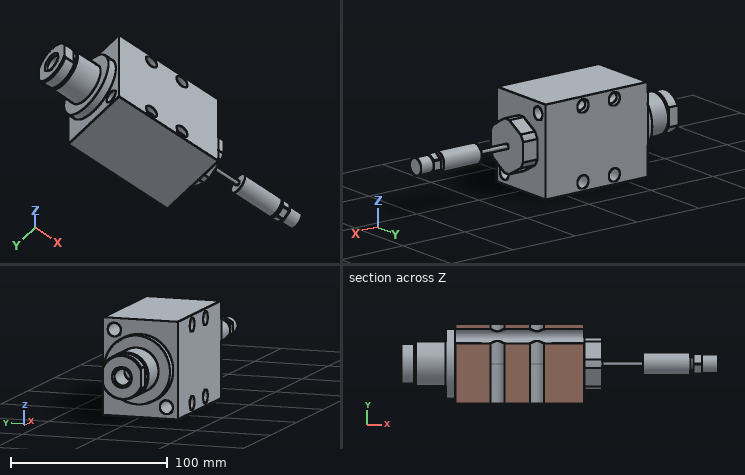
import cadquery as cq
import math

LENGTH = 202.5
HEAD_END = 8.7
SHANK_START = 10.0
COLLAR_START = 28.8
BLOCK_START = 34.8
BLOCK_END = 117.3
HEX_CAP_END = 128.8
SENSOR_START = 154.5
SENSOR_END = 185.0
NUT_START = 186.8
NUT_END = 192.5

BLOCK_WIDTH = 50.8
BLOCK_HEIGHT = 63.5
HOLE_DIAMETER = 9.0
CROSS_HOLE_X = (61.8, 87.0)
CROSS_HOLE_Z = 25.3
LONG_HOLE_Y = 17.6
LONG_HOLE_Z = 24.1

HEAD_DIAMETER = 28.8
HEAD_CHAMFER_LENGTH = 0.8
HEAD_CHAMFER_DEPTH = 0.5
NOTCH_DEPTH = 0.5
SHANK_DIAMETER = 29.0
COLLAR_DIAMETER = 44.5
FLAT_WIDTH = 25.5
FLAT_END = 7.7
PORT_DIAMETER = 11.0
PORT_CHAMFER = 1.2
PORT_DEPTH = 20.3

CAP_ACROSS_FLATS = 33.8
CAP_CORNER_DIAMETER = 36.5

CABLE_DIAMETER = 3.5
SENSOR_DIAMETER = 14.4
NECK_DIAMETER = 8.5
NUT_ACROSS_FLATS = 12.8
NUT_CORNER_DIAMETER = 14.4
PLUG_DIAMETER = 12.0


def rod(start, end, diameter):
    """Round bar on the X axis between two stations."""
    return cq.Workplane("YZ", origin=(start, 0, 0)).circle(diameter / 2).extrude(end - start)


def revolve_about_x(profile):
    """Turned shape from (station, radius) points that start and end on the X axis."""
    return cq.Workplane("XY").polyline(profile).close().revolve(360, (0, 0, 0), (1, 0, 0))


def turned_hexagon(start, end, across_flats, corner_diameter):
    """Hexagonal bar on the X axis with flats at +Y and -Y and its corners turned round."""
    across_corners = across_flats / math.cos(math.pi / 6)
    bar = cq.Workplane("YZ", origin=(start, 0, 0)).polygon(6, across_corners).extrude(end - start)
    bar = bar.rotate((0, 0, 0), (1, 0, 0), 90)
    return bar.intersect(rod(start, end, corner_diameter))


def make_nose():
    head_radius = HEAD_DIAMETER / 2
    shank_radius = SHANK_DIAMETER / 2
    nose_profile = [
        (0, 0),
        (0, head_radius - HEAD_CHAMFER_DEPTH),
        (HEAD_CHAMFER_LENGTH, head_radius),
        (HEAD_END, head_radius),
        (HEAD_END, head_radius - NOTCH_DEPTH),
        (SHANK_START, shank_radius),
        (COLLAR_START, shank_radius),
        (COLLAR_START, 0),
    ]
    nose = revolve_about_x(nose_profile)

    flat = FLAT_WIDTH / 2
    ramp_end = FLAT_END + shank_radius - flat
    flat_profile = [(0, flat), (FLAT_END, flat), (ramp_end, shank_radius), (0, shank_radius)]
    flat_cut = cq.Workplane("XY").polyline(flat_profile).close().extrude(shank_radius, both=True)
    nose = nose.cut(flat_cut).cut(flat_cut.mirror("XZ"))

    return nose.union(rod(COLLAR_START, BLOCK_START, COLLAR_DIAMETER))


def make_block():
    block_length = BLOCK_END - BLOCK_START
    block = cq.Workplane("XY").box(block_length, BLOCK_WIDTH, BLOCK_HEIGHT)
    block = block.translate((BLOCK_START + block_length / 2, 0, 0))

    cross_points = [(x, side * CROSS_HOLE_Z) for x in CROSS_HOLE_X for side in (-1, 1)]
    cross_holes = cq.Workplane("XZ").pushPoints(cross_points).circle(HOLE_DIAMETER / 2)
    block = block.cut(cross_holes.extrude(BLOCK_WIDTH, both=True))

    for side in (-1, 1):
        hole = rod(BLOCK_START, BLOCK_END, HOLE_DIAMETER)
        block = block.cut(hole.translate((0, side * LONG_HOLE_Y, side * LONG_HOLE_Z)))
    return block


def make_cap():
    return turned_hexagon(BLOCK_END, HEX_CAP_END, CAP_ACROSS_FLATS, CAP_CORNER_DIAMETER)


def make_sensor():
    sensor = rod(HEX_CAP_END, SENSOR_START, CABLE_DIAMETER)
    sensor = sensor.union(rod(SENSOR_START, SENSOR_END, SENSOR_DIAMETER))
    sensor = sensor.union(rod(SENSOR_END, NUT_START, NECK_DIAMETER))
    sensor = sensor.union(turned_hexagon(NUT_START, NUT_END, NUT_ACROSS_FLATS, NUT_CORNER_DIAMETER))
    return sensor.union(rod(NUT_END, LENGTH, PLUG_DIAMETER))


def make_port():
    """Blind bore with a chamfered mouth."""
    bore_radius = PORT_DIAMETER / 2
    mouth_radius = bore_radius + PORT_CHAMFER
    profile = [
        (0, 0),
        (0, mouth_radius),
        (PORT_CHAMFER, bore_radius),
        (PORT_DEPTH, bore_radius),
        (PORT_DEPTH, 0),
    ]
    return revolve_about_x(profile)


result = make_block().union(make_nose()).union(make_cap()).union(make_sensor()).cut(make_port())